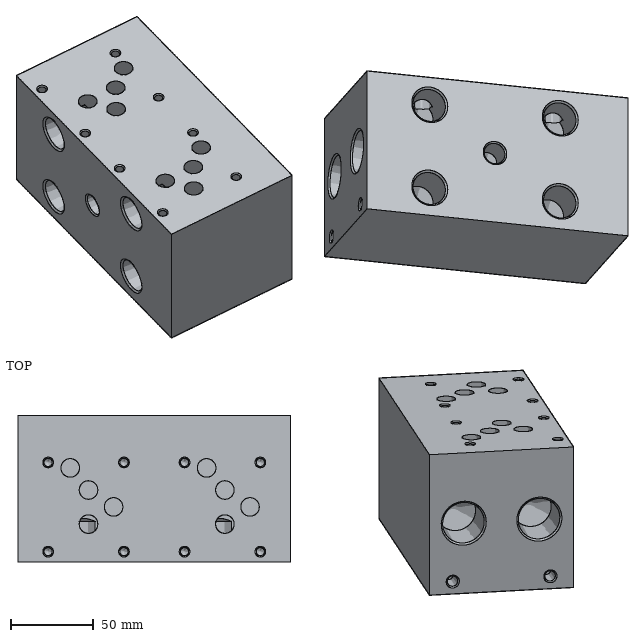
import cadquery as cq
import math

LENGTH = 165.1
WIDTH = 88.8
HEIGHT = 88.8
LEFT = -LENGTH / 2
FRONT = -WIDTH / 2
TOP = HEIGHT / 2

DRILL_HALF_ANGLE = math.radians(59)
CHAMFER_HALF_ANGLE = math.radians(45)
PIPE_TAPER = 1 / 16

STATION_PITCH = 82.5
FIRST_STATION = -64.2
STATION_STARTS = (FIRST_STATION, FIRST_STATION + STATION_PITCH)

BOLT_SPACING_X = 45.9
BOLT_SPACING_Y = 54.0
BOLT_ROW_Y = 15.8
BOLT_DIAMETER = 5.0
BOLT_MOUTH = 6.5
BOLT_DEPTH = 11.5
VALVE_PORT_DIAMETER = 11.2
VALVE_PORT_DEPTH = 11.2
VALVE_PORT_OFFSETS = ((13.4, -3.3), (24.5, -16.7), (39.6, -26.9), (24.5, -37.3))

WORK_PORT_OFFSET_X = 21.3
WORK_PORT_Z = 26.7
WORK_PORT_DIAMETER = 20.5
WORK_PORT_MOUTH = 22.8
WORK_PORT_DEPTH = 24.6

GAUGE_X = sum(STATION_STARTS) / 2 + WORK_PORT_OFFSET_X
GAUGE_DIAMETER = 13.0
GAUGE_MOUTH = 14.9
GAUGE_DEPTH = 16.5

MAIN_PORT_Y = 23.3
MAIN_PORT_DIAMETER = 25.6
MAIN_PORT_MOUTH = 27.7
MAIN_PORT_DEPTH = 25.3

MOUNT_Y = 30.0
MOUNT_Z = -36.5
MOUNT_DIAMETER = 6.5
MOUNT_MOUTH = 8.1
MOUNT_DEPTH = 14.9


def drilled_hole(mouth, diameter, depth, taper=0.0):
    """Cutter along +Z from z = 0: chamfered mouth, bore and pointed drill end."""
    radius = diameter / 2
    chamfer_depth = (mouth / 2 - radius) / math.tan(CHAMFER_HALF_ANGLE)
    end_radius = radius - taper / 2 * (depth - chamfer_depth)
    tip = depth + end_radius / math.tan(DRILL_HALF_ANGLE)
    profile = [(0, 0), (mouth / 2, 0), (radius, chamfer_depth), (end_radius, depth), (0, tip)]
    return cq.Workplane("XZ").polyline(profile).close().revolve(360, (0, 0), (0, 1))


def into_top(cutter, x, y):
    return cutter.rotate((0, 0, 0), (1, 0, 0), 180).translate((x, y, TOP))


def into_front(cutter, x, z):
    return cutter.rotate((0, 0, 0), (1, 0, 0), -90).translate((x, FRONT, z))


def into_left(cutter, y, z):
    return cutter.rotate((0, 0, 0), (0, 1, 0), 90).translate((LEFT, y, z))


bolt_hole = drilled_hole(BOLT_MOUTH, BOLT_DIAMETER, BOLT_DEPTH)
valve_port = cq.Workplane("XY").circle(VALVE_PORT_DIAMETER / 2).extrude(VALVE_PORT_DEPTH)
work_port = drilled_hole(WORK_PORT_MOUTH, WORK_PORT_DIAMETER, WORK_PORT_DEPTH, PIPE_TAPER)
gauge_port = drilled_hole(GAUGE_MOUTH, GAUGE_DIAMETER, GAUGE_DEPTH, PIPE_TAPER)
main_port = drilled_hole(MAIN_PORT_MOUTH, MAIN_PORT_DIAMETER, MAIN_PORT_DEPTH, PIPE_TAPER)
mount_hole = drilled_hole(MOUNT_MOUTH, MOUNT_DIAMETER, MOUNT_DEPTH)

result = cq.Workplane("XY").box(LENGTH, WIDTH, HEIGHT)

for start in STATION_STARTS:
    for x in (start, start + BOLT_SPACING_X):
        for y in (BOLT_ROW_Y, BOLT_ROW_Y - BOLT_SPACING_Y):
            result = result.cut(into_top(bolt_hole, x, y))
    for dx, dy in VALVE_PORT_OFFSETS:
        result = result.cut(into_top(valve_port, start + dx, BOLT_ROW_Y + dy))
    for z in (-WORK_PORT_Z, WORK_PORT_Z):
        result = result.cut(into_front(work_port, start + WORK_PORT_OFFSET_X, z))

result = result.cut(into_front(gauge_port, GAUGE_X, 0))

for side in (-1, 1):
    result = result.cut(into_left(main_port, side * MAIN_PORT_Y, 0))
    result = result.cut(into_left(mount_hole, side * MOUNT_Y, MOUNT_Z))